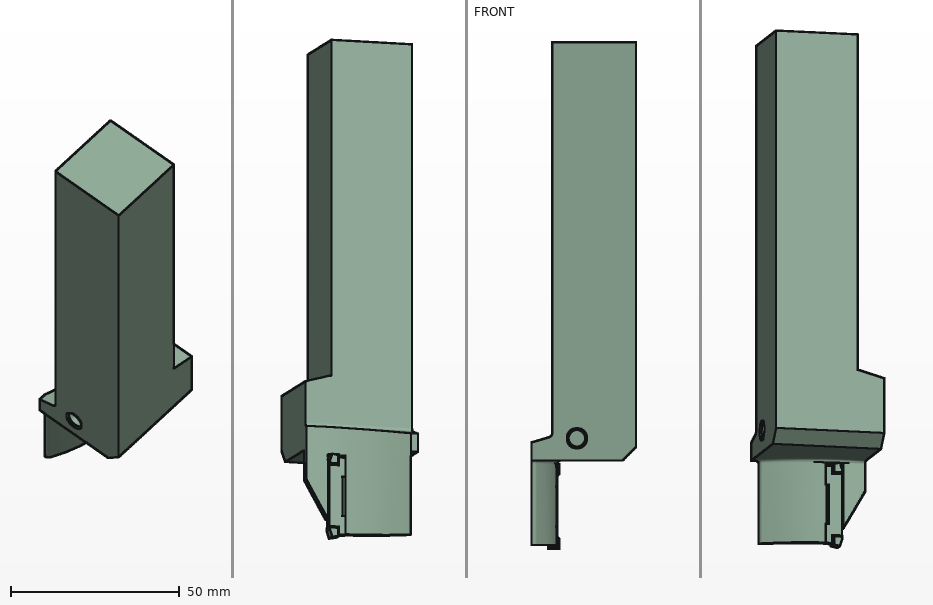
import cadquery as cq
import math


total_width = 31.0
total_depth = 33
total_height = 150

shank_side = 24.9
head_bottom = 26.1
shank_left = total_width - shank_side
side_ledge_bottom = 31.5
side_ledge_rise = 1.8
side_fillet = 1.2
back_ledge_bottom = 46.6
back_ledge_rise = 2.2
heel_chamfer = 4.0

hole_diameter = 5.0
hole_mouth_diameter = 6
hole_x = 13.5
hole_z = 32.7
hole_depth = 15

blade_thickness = 2.2
blade_front = 2.2
blade_bottom = 1.0
arc_middle_y = 26.5
blade_bulge = 5.5
blade_root_fillet = 0.9
back_chamfer_top = 17.0
back_chamfer_angle = 59.5

front_edge_thickness = 1.2
front_edge_radius = 1.5

arc_half_chord = arc_middle_y - blade_front


def arc_radius(bulge):
    """Radius of an arc that rises by the given bulge over the half chord."""
    return (arc_half_chord ** 2 + bulge ** 2) / (2 * bulge)


concave_radius = arc_radius(blade_bulge)
convex_radius = arc_radius(blade_bulge + blade_thickness - front_edge_thickness)
concave_center_x = blade_bulge - concave_radius
convex_center_x = blade_bulge + blade_thickness - convex_radius

insert_front = 20.8
insert_back = 25.8
insert_height = 25.0
insert_middle_x = blade_bulge + blade_thickness / 2
body_thickness = blade_thickness
tip_width = 3.5
tip_length = 3.3
tip_front = 22.8
tip_edge_y = 25.0
rake_length = 2.2
tip_clearance = 0.5
tip_chamfer = 0.52
body_setback = 0.9
relief_length = 11.8
relief_depth = 0.9
relief_span = ((insert_height - relief_length) / 2, (insert_height + relief_length) / 2)
slot_back = 26.2
slot_top = 24.7


def arc_cylinder(radius, center_x, bottom, top):
    """Upright cylinder whose wall is one curved face of the blade."""
    return (
        cq.Workplane("XY", origin=(center_x, arc_middle_y, bottom))
        .circle(radius)
        .extrude(top - bottom)
    )


def block(x_range, y_range, z_range):
    """Axis-aligned block between the given limits."""
    (x0, x1), (y0, y1), (z0, z1) = x_range, y_range, z_range
    return cq.Workplane("XY").box(x1 - x0, y1 - y0, z1 - z0, centered=False).translate((x0, y0, z0))


def extrude_along_x(points, x_start, width):
    """Extrude a (Y, Z) outline in the +X direction."""
    return cq.Workplane("YZ", origin=(x_start, 0, 0)).polyline(points).close().extrude(width)


def make_shank_and_head():
    front_outline = [
        (0, head_bottom),
        (total_width - heel_chamfer, head_bottom),
        (total_width, head_bottom + heel_chamfer),
        (total_width, total_height),
        (shank_left, total_height),
        (shank_left, side_ledge_bottom + side_ledge_rise),
        (0, side_ledge_bottom),
    ]
    side_outline = [
        (0, head_bottom),
        (total_depth, head_bottom),
        (total_depth, back_ledge_bottom),
        (shank_side, back_ledge_bottom + back_ledge_rise),
        (shank_side, total_height),
        (0, total_height),
    ]
    profile = cq.Workplane("XZ").polyline(front_outline).close().extrude(-total_depth)
    ledge_corner = (shank_left, total_depth / 2, side_ledge_bottom + side_ledge_rise)
    profile = profile.edges(cq.selectors.NearestToPointSelector(ledge_corner)).fillet(side_fillet)
    shank = profile.intersect(extrude_along_x(side_outline, 0, total_width))

    return shank.cut(
        arc_cylinder(concave_radius, concave_center_x, head_bottom, total_height)
        .intersect(block((0, shank_left), (blade_front, total_depth), (head_bottom, total_height)))
    )


def make_blade():
    envelope = block((0, total_width), (blade_front, total_depth), (blade_bottom, head_bottom))
    blade = arc_cylinder(convex_radius, convex_center_x, blade_bottom, head_bottom).intersect(envelope)
    blade = blade.cut(arc_cylinder(concave_radius, concave_center_x, blade_bottom, head_bottom))

    front_corner = (front_edge_thickness, blade_front, head_bottom / 2)
    front_edge = cq.selectors.NearestToPointSelector(front_corner)
    blade = blade.edges("|Z").edges(front_edge).fillet(front_edge_radius)

    chamfer_run = back_chamfer_top / math.tan(math.radians(back_chamfer_angle))
    back_corner = [
        (total_depth, back_chamfer_top),
        (total_depth, 0),
        (total_depth - chamfer_run, 0),
    ]
    return blade.cut(extrude_along_x(back_corner, 0, total_width))


def fillet_blade_root(holder):
    """Round the corner between the convex blade face and the underside of the head."""
    near_root_arc = (blade_bulge, total_depth / 2, head_bottom)
    root_edge = cq.selectors.NearestToPointSelector(near_root_arc)
    return holder.edges(root_edge).fillet(blade_root_fillet)


def cut_insert_slot(holder):
    across = (0, insert_middle_x + tip_width / 2)
    slot = block(across, (insert_front, slot_back), (0, slot_top))

    ridge_half_width = body_thickness / 2
    ridge = (
        cq.Workplane("XY", origin=(insert_middle_x, insert_front, relief_span[0]))
        .polyline([(-ridge_half_width, 0), (0, relief_depth), (ridge_half_width, 0)])
        .close()
        .extrude(relief_length)
    )
    slot = slot.cut(ridge)

    tip_pocket = block(across, (tip_front, insert_back), (slot_top, insert_height))
    return holder.cut(slot).cut(tip_pocket)


def cut_screw_hole(holder):
    mouth_depth = (hole_mouth_diameter - hole_diameter) / 2
    mouth = (
        cq.Workplane("XZ", origin=(hole_x, 0, hole_z))
        .circle(hole_mouth_diameter / 2)
        .workplane(offset=-mouth_depth)
        .circle(hole_diameter / 2)
        .loft()
    )
    bore = cq.Workplane("XZ", origin=(hole_x, 0, hole_z)).circle(hole_diameter / 2).extrude(-hole_depth)
    return holder.cut(mouth).cut(bore)


def make_holder():
    holder = make_shank_and_head().union(make_blade())
    holder = fillet_blade_root(holder)
    holder = cut_insert_slot(holder)
    return cut_screw_hole(holder)


def make_cutting_tip():
    """Lower cutting tip, wider than the insert body, with a sloping rake face."""
    outline = [
        (tip_edge_y, 0),
        (insert_back, rake_length),
        (insert_back, tip_length),
        (tip_front, tip_length),
        (tip_front, tip_clearance),
    ]
    tip = extrude_along_x(outline, insert_middle_x - tip_width / 2, tip_width)
    return tip.edges("(|Z and <Y) or (|Y and >Z)").chamfer(tip_chamfer)


def make_insert():
    body_left = insert_middle_x - body_thickness / 2
    body_outline = [
        (insert_front, body_setback),
        (tip_front, body_setback),
        (tip_front, rake_length),
        (insert_back, rake_length),
        (insert_back, insert_height - rake_length),
        (tip_front, insert_height - rake_length),
        (tip_front, insert_height - body_setback),
        (insert_front, insert_height - body_setback),
    ]
    body = extrude_along_x(body_outline, body_left, body_thickness)

    relief = block(
        (body_left, body_left + body_thickness),
        (insert_front, insert_front + relief_depth),
        relief_span,
    )
    lower_tip = make_cutting_tip()
    upper_tip = lower_tip.mirror("XY", (0, 0, insert_height / 2))
    return body.cut(relief).union(lower_tip).union(upper_tip)


holder = make_holder()
insert = make_insert()

result = cq.Compound.makeCompound([*holder.solids().vals(), *insert.solids().vals()])